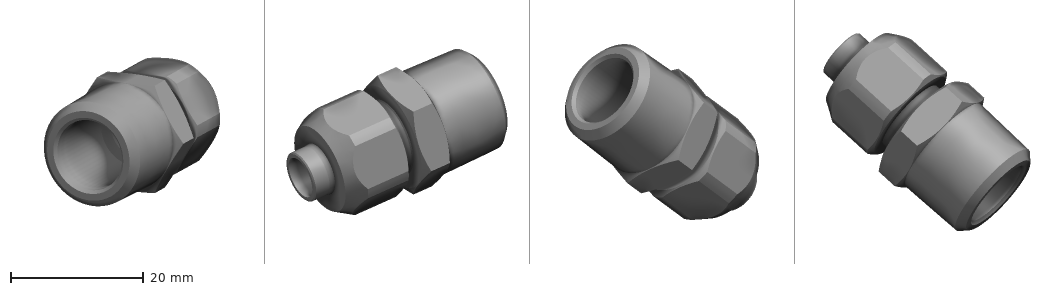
import cadquery as cq
import math

length = 33.0

thread_length = 11.52
thread_root_radius = 8.45
thread_tip_radius = 8.22
thread_chamfer = 1.2

body_flats = 17.0
body_hex_length = 5.0
body_hex_face_radius = 8.38
body_hex_chamfer_angle = 30.0

neck_radius = 6.0
neck_length = 1.98
neck_foot_radius = 6.15
neck_foot_length = 0.23

nut_flats = 16.0
nut_length = 10.95
nut_corner_radius = 8.75
nut_top_radius = 7.03
nut_top_cone_length = 2.97
nut_base_radius = 7.8
nut_base_cone_length = 0.6

stub_radius = 4.03
stub_foot_radius = 4.15
stub_flare_length = 0.9
stub_edge_chamfer = 0.2

bore_radius = 5.5
bore_depth = 14.85
step_radius = 4.25
step_end = 19.8
passage_radius = 3.25
mouth_chamfer = 0.45
drill_point_angle = 118.0

body_hex_start = thread_length
neck_start = body_hex_start + body_hex_length
nut_start = neck_start + neck_length
nut_end = nut_start + nut_length


def revolve_profile(outline):
    """Revolve (radius, y) points, closed along the axis, around Y."""
    points = [(0, outline[0][1])] + outline + [(0, outline[-1][1])]
    return cq.Workplane("XY").polyline(points).close().revolve(360, (0, 0, 0), (0, 1, 0))


def hex_prism(flats, start, height):
    """Hexagon along +Y with two flats facing +Z and -Z."""
    corner_diameter = flats / math.cos(math.radians(30))
    return (
        cq.Workplane("XZ", origin=(0, start, 0))
        .polygon(6, corner_diameter)
        .extrude(-height)
    )


def make_thread():
    return revolve_profile([
        (thread_tip_radius - thread_chamfer, 0),
        (thread_tip_radius, thread_chamfer),
        (thread_root_radius, thread_length),
    ])


def make_body_hex():
    corner_radius = body_flats / 2 / math.cos(math.radians(30))
    envelope_radius = corner_radius + 0.03
    cone_length = (envelope_radius - body_hex_face_radius) * math.tan(math.radians(body_hex_chamfer_angle))
    envelope = revolve_profile([
        (body_hex_face_radius, body_hex_start),
        (envelope_radius, body_hex_start + cone_length),
        (envelope_radius, neck_start - cone_length),
        (body_hex_face_radius, neck_start),
    ])
    return hex_prism(body_flats, body_hex_start, body_hex_length).intersect(envelope)


def make_neck():
    return revolve_profile([
        (neck_foot_radius, neck_start),
        (neck_radius, neck_start + neck_foot_length),
        (neck_radius, nut_start),
    ])


def make_nut():
    envelope = revolve_profile([
        (nut_base_radius, nut_start),
        (nut_corner_radius, nut_start + nut_base_cone_length),
        (nut_corner_radius, nut_end - nut_top_cone_length),
        (nut_top_radius, nut_end),
    ])
    return hex_prism(nut_flats, nut_start, nut_length).intersect(envelope)


def make_stub():
    return revolve_profile([
        (stub_foot_radius, nut_end),
        (stub_radius, nut_end + stub_flare_length),
        (stub_radius, length - stub_edge_chamfer),
        (stub_radius - stub_edge_chamfer, length),
    ])


def make_bore():
    drill_slope = 1 / math.tan(math.radians(drill_point_angle / 2))
    return revolve_profile([
        (bore_radius + mouth_chamfer, 0),
        (bore_radius, mouth_chamfer),
        (bore_radius, bore_depth),
        (step_radius, bore_depth + (bore_radius - step_radius) * drill_slope),
        (step_radius, step_end),
        (passage_radius, step_end + (step_radius - passage_radius) * drill_slope),
        (passage_radius, length),
    ])


result = (
    make_thread()
    .union(make_body_hex())
    .union(make_neck())
    .union(make_nut())
    .union(make_stub())
    .cut(make_bore())
)